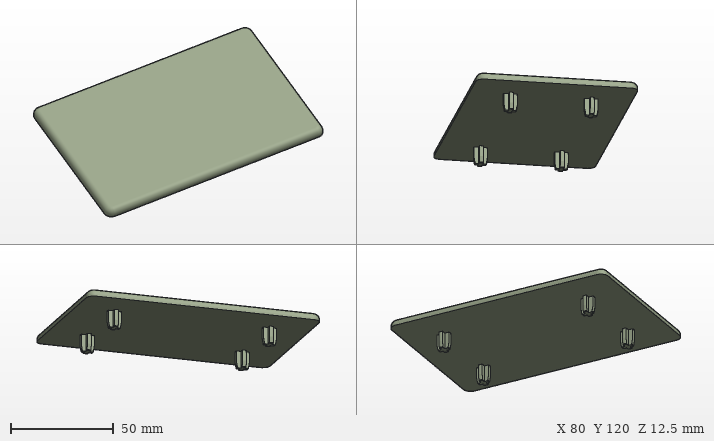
import cadquery as cq

plate_width = 80.0
plate_length = 120.0
plate_thickness = 4.0
corner_radius = 4.0
top_edge_radius = 3.0

total_height = 12.5
peg_height = total_height - plate_thickness
peg_edge_distance = 20.0
peg_radius = 3.5
rib_thickness = 2.0
taper_height = 3.1
tip_radius = 3.0
tip_chamfer = 0.3


def make_plate():
    """Rectangular plate with rounded corners and a rounded upper rim."""
    plate = cq.Workplane("XY").box(
        plate_width, plate_length, plate_thickness, centered=(True, True, False)
    )
    plate = plate.edges("|Z").fillet(corner_radius)
    return plate.faces(">Z").edges().fillet(top_edge_radius)


def make_peg():
    """Peg with a cross section of two crossing ribs, trimmed to a round, tapered envelope."""
    taper_start = taper_height - peg_height
    envelope = (
        cq.Workplane("XZ")
        .moveTo(0, 0)
        .lineTo(peg_radius, 0)
        .lineTo(peg_radius, taper_start)
        .lineTo(tip_radius, tip_chamfer - peg_height)
        .lineTo(tip_radius - tip_chamfer, -peg_height)
        .lineTo(0, -peg_height)
        .close()
        .revolve(360, (0, 0, 0), (0, 1, 0))
    )
    rib_length = 2 * peg_radius
    cross = (
        cq.Workplane("XY")
        .rect(rib_length, rib_thickness)
        .extrude(-peg_height)
        .union(cq.Workplane("XY").rect(rib_thickness, rib_length).extrude(-peg_height))
    )
    return cross.intersect(envelope)


peg_x = plate_width / 2 - peg_edge_distance
peg_y = plate_length / 2 - peg_edge_distance

result = make_plate()
for x in (-peg_x, peg_x):
    for y in (-peg_y, peg_y):
        result = result.union(make_peg().translate((x, y, 0)))